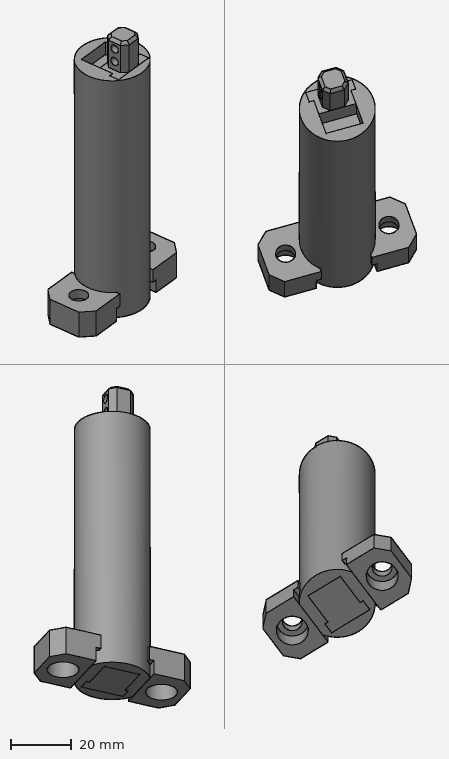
import cadquery as cq

total_height = 107.0
housing_diameter = 25.0
housing_height = 95.0

pocket_depth = 5.0
pocket_back_x = -7.9
pocket_front_x = 9.0
pocket_width = 12.8
crossbar_width = 16.0
crossbar_thickness = 3.7

block_top_edge_x = -0.1
block_toe_overhang = 1.0
rod_size = 9.0
rod_corner_chamfer = 2.0
rod_top_chamfer = 1.1
rod_hole_diameter = 3.0
rod_top_hole_depth = 3.5
rod_hole_spacing = 5.0

bottom_key_height = pocket_depth
bottom_key_back_x = -7.9
bottom_key_front_x = 7.7
bottom_crossbar_width = 15.2
bottom_crossbar_thickness = 4.0

foot_width = 20.2
foot_height = 10.1
foot_step_height = 5.0
feet_span = 51.0
foot_upper_inner_y = 8.8
foot_lower_inner_y = 10.5
foot_corner_chamfer = 4.1
foot_hole_diameter = 6.5
foot_hole_y = 17.9
foot_hole_depth = 3.5
foot_counterbore_diameter = 10.5

pocket_floor_z = housing_height - pocket_depth
rod_center_x = pocket_front_x - rod_size / 2
foot_outer_y = feet_span / 2
foot_turns = (0, 180)


def make_t_prism(stem_x, crossbar_x, stem_width, bar_width, bar_thickness, base_z, height):
    """Upright T-shaped prism, from the stem end at stem_x to the crossbar's outer face at crossbar_x."""
    length = abs(crossbar_x - stem_x)
    middle_x = (stem_x + crossbar_x) / 2
    toward_stem = 1 if stem_x > crossbar_x else -1
    bar_middle_x = crossbar_x + toward_stem * bar_thickness / 2
    stem = (
        cq.Workplane("XY", origin=(middle_x, 0, base_z))
        .rect(length, stem_width)
        .extrude(height)
    )
    crossbar = (
        cq.Workplane("XY", origin=(bar_middle_x, 0, base_z))
        .rect(bar_thickness, bar_width)
        .extrude(height)
    )
    return stem.union(crossbar)


def make_pocket_shape():
    """Prism that fills the whole top pocket."""
    return make_t_prism(
        pocket_back_x, pocket_front_x, pocket_width,
        crossbar_width, crossbar_thickness, pocket_floor_z, pocket_depth,
    )


def make_bottom_key():
    """T-shaped insert in the base of the housing."""
    return make_t_prism(
        bottom_key_front_x, bottom_key_back_x, pocket_width,
        bottom_crossbar_width, bottom_crossbar_thickness, 0, bottom_key_height,
    )


def make_foot_blank(turn):
    """Foot without its screw hole: stepped inner end and clipped outer corners, turned about Z."""
    return (
        cq.Workplane("YZ")
        .moveTo(foot_lower_inner_y, 0)
        .lineTo(foot_outer_y, 0)
        .lineTo(foot_outer_y, foot_height)
        .lineTo(foot_upper_inner_y, foot_height)
        .lineTo(foot_upper_inner_y, foot_step_height)
        .lineTo(foot_lower_inner_y, foot_step_height)
        .close()
        .extrude(foot_width / 2, both=True)
        .edges("|Z and >Y")
        .chamfer(foot_corner_chamfer)
        .rotate((0, 0, 0), (0, 0, 1), turn)
    )


def make_foot(turn):
    """Foot with a screw hole that is counterbored from below."""
    hole = (
        cq.Workplane("XY", origin=(0, foot_hole_y, 0))
        .circle(foot_hole_diameter / 2)
        .extrude(foot_height)
    )
    counterbore = (
        cq.Workplane("XY", origin=(0, foot_hole_y, 0))
        .circle(foot_counterbore_diameter / 2)
        .extrude(foot_height - foot_hole_depth)
    )
    screw_space = hole.union(counterbore).rotate((0, 0, 0), (0, 0, 1), turn)
    return make_foot_blank(turn).cut(screw_space)


def make_housing():
    """Round column with the top pocket, the bottom key recess and a stepped notch for each foot."""
    column = cq.Workplane("XY").circle(housing_diameter / 2).extrude(housing_height)
    column = column.cut(make_pocket_shape()).cut(make_bottom_key())
    for turn in foot_turns:
        column = column.cut(make_foot_blank(turn))
    return column


def make_key_block():
    """Part of the pocket shape in front of a sloping back face."""
    side_profile = (
        cq.Workplane("XZ")
        .moveTo(block_top_edge_x - block_toe_overhang, pocket_floor_z)
        .lineTo(pocket_front_x, pocket_floor_z)
        .lineTo(pocket_front_x, housing_height)
        .lineTo(block_top_edge_x, housing_height)
        .close()
        .extrude(crossbar_width / 2, both=True)
    )
    return make_pocket_shape().intersect(side_profile)


def make_rod():
    """Octagonal rod with a chamfered top and two cross holes along Y."""
    rod = (
        cq.Workplane("XY", origin=(rod_center_x, 0, housing_height))
        .rect(rod_size, rod_size)
        .extrude(total_height - housing_height)
        .edges("|Z")
        .chamfer(rod_corner_chamfer)
        .faces(">Z")
        .chamfer(rod_top_chamfer)
    )
    top_hole_z = total_height - rod_top_hole_depth
    hole_centers = [(rod_center_x, top_hole_z), (rod_center_x, top_hole_z - rod_hole_spacing)]
    holes = (
        cq.Workplane("XZ")
        .pushPoints(hole_centers)
        .circle(rod_hole_diameter / 2)
        .extrude(rod_size, both=True)
    )
    return rod.cut(holes)


def make_slider():
    """Key block and rod as one body."""
    return make_key_block().union(make_rod())


housing = make_housing()
slider = make_slider()
bottom_key = make_bottom_key()
feet = [make_foot(turn) for turn in foot_turns]

result = cq.Compound.makeCompound(
    [housing.val(), slider.val(), bottom_key.val(), *[foot.val() for foot in feet]]
)